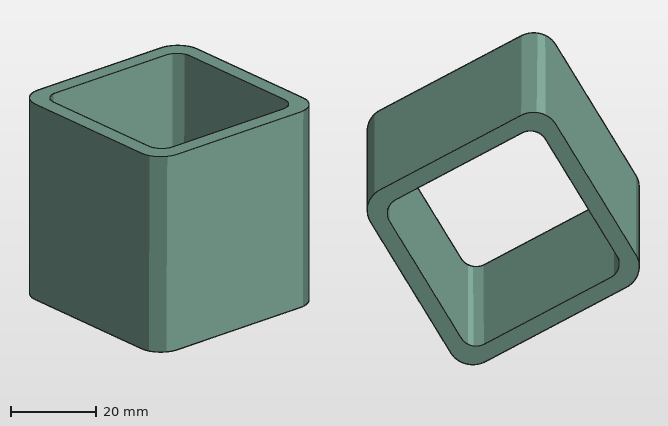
import cadquery as cq

side = 50.0
height = 50.0
wall = 4.0
outer_radius = 6.0
inner_radius = 4.0

bore_side = side - 2 * wall


def rounded_square_bar(width, corner_radius):
    """Upright square bar with rounded vertical edges, standing on Z = 0."""
    bar = cq.Workplane("XY").rect(width, width).extrude(height)
    return bar.edges("|Z").fillet(corner_radius)


outer_body = rounded_square_bar(side, outer_radius)
bore = rounded_square_bar(bore_side, inner_radius)

result = outer_body.cut(bore)